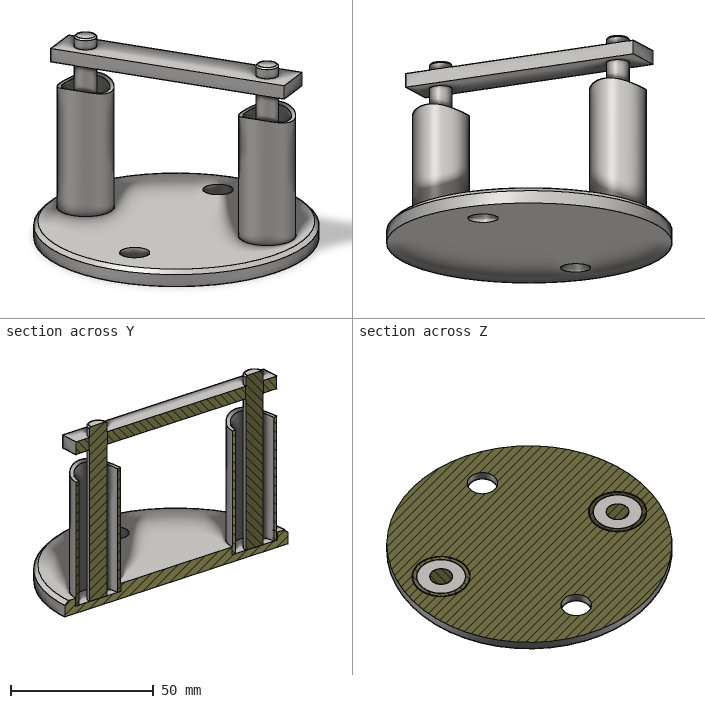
import cadquery as cq

base_diameter = 100.0
base_thickness = 6.0
base_chamfer = 1.5
mount_hole_diameter = 10.5
socket_diameter = 20.2
socket_depth = 3.0
socket_floor_z = base_thickness - socket_depth
feature_offset = 35.0

tube_outer_diameter = 20.0
tube_inner_diameter = 17.0
saddle_radius = 22.5
saddle_bottom_z = 50.5

pin_diameter = 8.0
pin_top_z = 70.0
pin_chamfer = 0.6

bar_length = 2 * feature_offset + tube_outer_diameter
bar_width = 15.0
bar_thickness = 5.0
bar_bottom_z = 61.0

post_positions = [(-feature_offset, 0), (feature_offset, 0)]
mount_hole_positions = [(0, -feature_offset), (0, feature_offset)]


def make_base():
    """Round plate with a chamfered upper rim, two mounting holes and two tube sockets."""
    plate = cq.Workplane("XY").circle(base_diameter / 2).extrude(base_thickness)
    plate = plate.faces(">Z").edges().chamfer(base_chamfer)
    mount_holes = (
        cq.Workplane("XY")
        .pushPoints(mount_hole_positions)
        .circle(mount_hole_diameter / 2)
        .extrude(base_thickness)
    )
    sockets = (
        cq.Workplane("XY", origin=(0, 0, socket_floor_z))
        .pushPoints(post_positions)
        .circle(socket_diameter / 2)
        .extrude(socket_depth)
    )
    return plate.cut(mount_holes).cut(sockets)


def make_tube(x, y):
    """Tube whose top is hollowed by a cylinder lying along X."""
    saddle_axis_z = saddle_bottom_z + saddle_radius
    tube = (
        cq.Workplane("XY", origin=(x, y, socket_floor_z))
        .circle(tube_outer_diameter / 2)
        .circle(tube_inner_diameter / 2)
        .extrude(saddle_axis_z - socket_floor_z)
    )
    saddle = (
        cq.Workplane("YZ", origin=(x, y, saddle_axis_z))
        .circle(saddle_radius)
        .extrude(tube_outer_diameter, both=True)
    )
    return tube.cut(saddle)


def make_pin(x, y):
    """Round pin with a chamfered top."""
    pin = cq.Workplane("XY", origin=(x, y, socket_floor_z))
    pin = pin.circle(pin_diameter / 2).extrude(pin_top_z - socket_floor_z)
    return pin.faces(">Z").edges().chamfer(pin_chamfer)


def make_bar():
    """Flat bar with a hole for each pin."""
    bar = cq.Workplane("XY", origin=(0, 0, bar_bottom_z)).rect(bar_length, bar_width).extrude(bar_thickness)
    pin_holes = (
        cq.Workplane("XY", origin=(0, 0, bar_bottom_z))
        .pushPoints(post_positions)
        .circle(pin_diameter / 2)
        .extrude(bar_thickness)
    )
    return bar.cut(pin_holes)


base = make_base()
tubes = [make_tube(x, y) for x, y in post_positions]
pins = [make_pin(x, y) for x, y in post_positions]
bar = make_bar()

result = cq.Compound.makeCompound(
    [base.val(), bar.val()] + [body.val() for body in tubes + pins]
)